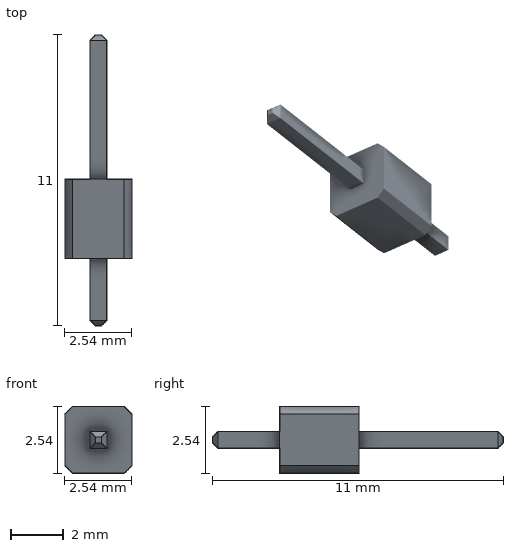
import cadquery as cq

pin_length = 11.0
pin_width = 0.64
tip_chamfer = 0.21
housing_width = 2.54
housing_length = 3.0
housing_chamfer = 0.3
front_pin_length = 2.54


def bar_along_y(width, length, start_y):
    """Square bar centred on the Y axis, running toward +Y from start_y."""
    return cq.Workplane("XY").box(width, length, width).translate((0, start_y + length / 2, 0))


housing = bar_along_y(housing_width, housing_length, 0).edges("|Y").chamfer(housing_chamfer)

pin = bar_along_y(pin_width, pin_length, -front_pin_length).faces("<Y or >Y").chamfer(tip_chamfer)

result = housing.union(pin)